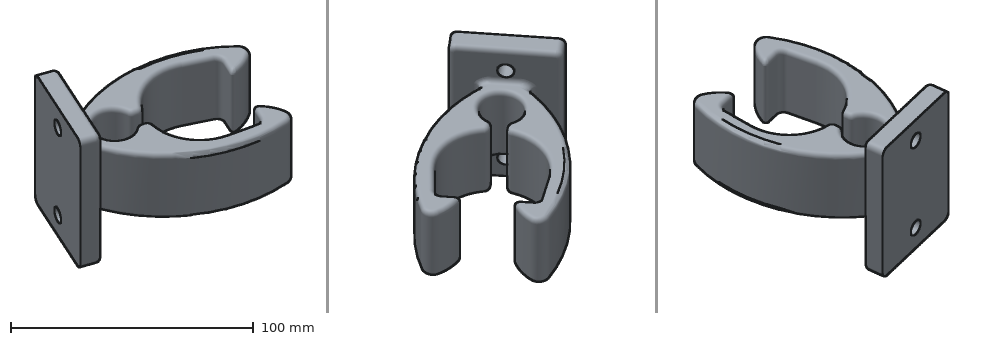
import cadquery as cq
import math

PLATE_WIDTH = 47.8
PLATE_HEIGHT = 69.8
PLATE_THICKNESS = 9.8
PLATE_CORNER_RADIUS = 3.1
HOLE_DIAMETER = 7.0
HOLE_SPACING = 47.5

CLIP_HEIGHT = 35.0
CLIP_WIDTH = 64.0
CLIP_TOP_Y = 95.0
EDGE_RADIUS = 2.5

FLANK_RADIUS = 71.8
FLANK_CENTER = (CLIP_WIDTH / 2 - FLANK_RADIUS, 64.4)

PEAK_RADIUS = 5.0
BEAK_RADIUS = 22.8
TIP_X = 10.6
TIP_RADIUS = 1.5
LEDGE_Y = 82.6
LEDGE_CORNER_RADIUS = 3.0

LARGE_SEAT_RADIUS = 23.75
LARGE_SEAT_Y = 63.5
WALL_LEAN = math.radians(6)
THROAT_HALF_WIDTH = 3.4
THROAT_RADIUS = 3.0
SMALL_SEAT_RADIUS = 9.5
SMALL_SEAT_Y = 25.5

MARGIN = 0.1


def toward(start, target, distance):
    """Point at a distance from start on the ray to target."""
    scale = distance / math.dist(start, target)
    return (start[0] + scale * (target[0] - start[0]), start[1] + scale * (target[1] - start[1]))


def arc_middle(center, radius, start, end):
    """Middle of the shorter arc from start to end."""
    chord_middle = ((start[0] + end[0]) / 2, (start[1] + end[1]) / 2)
    return toward(center, chord_middle, radius)


def circle_x(center_x, center_y, radius, y):
    """X of the right-hand point of a circle at height y."""
    return center_x + math.sqrt(radius**2 - (y - center_y) ** 2)


def circles_meet(first, first_radius, second, second_radius):
    """Intersection of two circles that lies to the right of the line from first to second."""
    span = math.dist(first, second)
    along = (span**2 + first_radius**2 - second_radius**2) / (2 * span)
    aside = math.sqrt(first_radius**2 - along**2)
    unit_x = (second[0] - first[0]) / span
    unit_y = (second[1] - first[1]) / span
    return (first[0] + along * unit_x + aside * unit_y, first[1] + along * unit_y - aside * unit_x)


def make_plate():
    plate = cq.Workplane("XY").box(PLATE_WIDTH, PLATE_THICKNESS, PLATE_HEIGHT, centered=(True, False, True))
    plate = plate.edges("|Y").fillet(PLATE_CORNER_RADIUS)
    plate = plate.faces(">Y").edges().fillet(EDGE_RADIUS)
    holes = (
        cq.Workplane("XZ")
        .pushPoints([(0, -HOLE_SPACING / 2), (0, HOLE_SPACING / 2)])
        .circle(HOLE_DIAMETER / 2)
        .extrude(-PLATE_THICKNESS)
    )
    return plate.cut(holes)


def upright(outline):
    """Extrude an outline over the height of the clip, centred on z = 0."""
    return outline.extrude(CLIP_HEIGHT / 2, both=True)


def make_clip():
    """Clip with its upright corners rounded and its rims still sharp."""
    root = (circle_x(*FLANK_CENTER, FLANK_RADIUS, PLATE_THICKNESS), PLATE_THICKNESS)

    peak_y = CLIP_TOP_Y - PEAK_RADIUS
    peak = (circle_x(*FLANK_CENTER, FLANK_RADIUS - PEAK_RADIUS, peak_y), peak_y)
    flank_end = toward(FLANK_CENTER, peak, FLANK_RADIUS)

    tip = (TIP_X, LEDGE_Y)
    beak_center = circles_meet(tip, BEAK_RADIUS, peak, BEAK_RADIUS - PEAK_RADIUS)
    beak_start = toward(beak_center, peak, BEAK_RADIUS)

    seat_center = (0, LARGE_SEAT_Y)
    wall_start = (
        LARGE_SEAT_RADIUS * math.cos(WALL_LEAN),
        LARGE_SEAT_Y + LARGE_SEAT_RADIUS * math.sin(WALL_LEAN),
    )
    ledge_corner = (wall_start[0] - (LEDGE_Y - wall_start[1]) * math.tan(WALL_LEAN), LEDGE_Y)

    throat_front = (THROAT_HALF_WIDTH, LARGE_SEAT_Y - math.sqrt(LARGE_SEAT_RADIUS**2 - THROAT_HALF_WIDTH**2))
    throat_back = (THROAT_HALF_WIDTH, SMALL_SEAT_Y + math.sqrt(SMALL_SEAT_RADIUS**2 - THROAT_HALF_WIDTH**2))

    body = upright(
        cq.Workplane("XY")
        .moveTo(0, 0)
        .lineTo(root[0], 0)
        .lineTo(*root)
        .threePointArc(arc_middle(FLANK_CENTER, FLANK_RADIUS, root, flank_end), flank_end)
        .threePointArc((peak[0], CLIP_TOP_Y), beak_start)
        .threePointArc(arc_middle(beak_center, BEAK_RADIUS, beak_start, tip), tip)
        .lineTo(*ledge_corner)
        .lineTo(*wall_start)
        .threePointArc(arc_middle(seat_center, LARGE_SEAT_RADIUS, wall_start, throat_front), throat_front)
        .lineTo(0, throat_front[1])
        .mirrorY()
    )
    small_seat = upright(cq.Workplane("XY").center(0, SMALL_SEAT_Y).circle(SMALL_SEAT_RADIUS))
    throat_length = throat_front[1] - SMALL_SEAT_Y
    throat = upright(
        cq.Workplane("XY").center(0, SMALL_SEAT_Y + throat_length / 2).rect(2 * THROAT_HALF_WIDTH, throat_length)
    )
    body = body.cut(small_seat).cut(throat)

    for (corner_x, corner_y), radius in (
        (throat_front, THROAT_RADIUS),
        (throat_back, THROAT_RADIUS),
        (ledge_corner, LEDGE_CORNER_RADIUS),
        (tip, TIP_RADIUS),
    ):
        for x in (-corner_x, corner_x):
            body = body.edges(cq.NearestToPointSelector((x, corner_y, 0))).fillet(radius)
    return body


def round_clip_edges(part):
    """Round both rims of the clip and fillet its joint to the plate, as one blend."""
    reach = CLIP_HEIGHT / 2 + MARGIN
    clip_faces = cq.selectors.BoxSelector(
        (-CLIP_WIDTH, PLATE_THICKNESS, -reach),
        (CLIP_WIDTH, CLIP_TOP_Y, reach),
    )
    joint_edges = cq.selectors.BoxSelector(
        (-reach, PLATE_THICKNESS - MARGIN, -reach),
        (reach, PLATE_THICKNESS + MARGIN, reach),
    )
    rims = part.faces("|Z").faces(clip_faces).edges()
    joint_sides = part.edges("|Z").edges(joint_edges)
    return rims.add(joint_sides).fillet(EDGE_RADIUS)


result = round_clip_edges(make_plate().union(make_clip()))